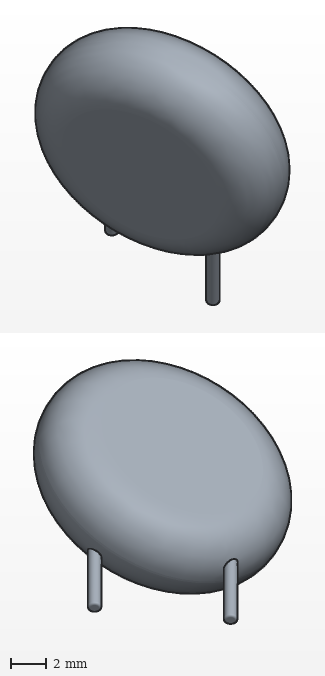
import cadquery as cq

disc_diameter = 15.5
disc_thickness = 5.6
rim_round = 2.72

overall_height = 18.53
lead_diameter = 0.8
lead_spacing_x = 7.5
lead_spacing_y = 2.19
lead_tip_round = 0.15
lead_length = 5.93

lead_tip_z = disc_diameter / 2 - overall_height
lead_positions = [
    (side * lead_spacing_x / 2, -side * lead_spacing_y / 2)
    for side in (-1, 1)
]


def make_lead(x, y):
    """Straight round lead with a rounded lower tip."""
    return (
        cq.Workplane("XY", origin=(x, y, lead_tip_z))
        .circle(lead_diameter / 2)
        .extrude(lead_length)
        .faces("<Z")
        .fillet(lead_tip_round)
    )


def make_disc():
    """Disc with both edges rounded, leaving a narrow straight band at the rim."""
    return (
        cq.Workplane("XZ")
        .circle(disc_diameter / 2)
        .extrude(disc_thickness / 2, both=True)
        .faces("<Y or >Y")
        .edges()
        .fillet(rim_round)
    )


leads = [make_lead(x, y) for x, y in lead_positions]

disc = make_disc()
for lead in leads:
    disc = disc.cut(lead)

result = cq.Compound.makeCompound([disc.val(), *[lead.val() for lead in leads]])